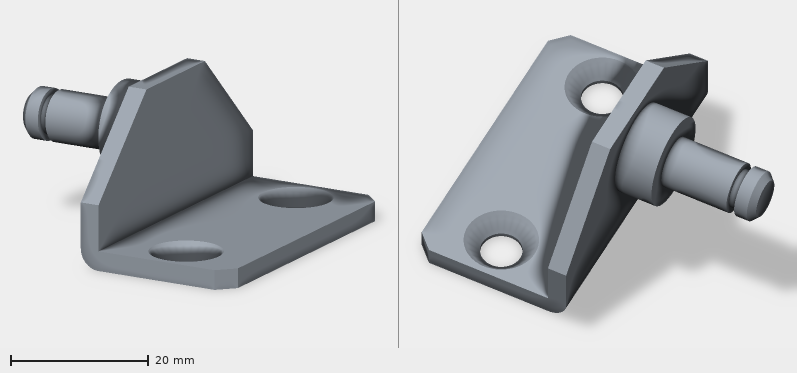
import cadquery as cq

thickness = 3.0
base_length = 25.0
width = 45.0
height = 24.0
bend_radius = thickness
corner_chamfer = 2.5

top_width = 17.0
shoulder_height = 10.0

hole_diameter = 6.2
countersink_diameter = 11.0
countersink_angle = 90
hole_x = 14.0
hole_spacing = 32.0

pin_height = 15.0
overall_length = 46.0
pin_reach = overall_length - base_length
collar_diameter = 14.0
collar_length = 6.0
pin_diameter = 7.8
tip_chamfer = 1.0
groove_diameter = 6.0
groove_width = 1.3
groove_from_tip = 3.1


def make_bracket():
    """L-shaped plate with a rounded outer bend and a sharp inner corner."""
    profile = (
        cq.Workplane("XZ")
        .polyline([
            (0, 0),
            (base_length, 0),
            (base_length, thickness),
            (thickness, thickness),
            (thickness, height),
            (0, height),
        ])
        .close()
    )
    plate = profile.extrude(width / 2, both=True)
    plate = plate.edges("|Y and <X and <Z").fillet(bend_radius)
    return plate.edges("|Z and >X").chamfer(corner_chamfer)


def trim_upright(bracket):
    """Cut the two sloping sides of the upright leg."""
    for side in (-1, 1):
        corner = (
            cq.Workplane("YZ")
            .polyline([
                (side * width / 2, shoulder_height),
                (side * width / 2, height),
                (side * top_width / 2, height),
            ])
            .close()
            .extrude(thickness)
        )
        bracket = bracket.cut(corner)
    return bracket


def drill_mounting_holes(bracket):
    """Countersink the base from its upper face."""
    return (
        bracket.copyWorkplane(cq.Workplane("XY", origin=(0, 0, thickness)))
        .pushPoints([(hole_x, -hole_spacing / 2), (hole_x, hole_spacing / 2)])
        .cskHole(hole_diameter, countersink_diameter, countersink_angle)
    )


def cylinder_from_tip(diameter, start, length):
    """Cylinder on the pin axis, starting at a distance behind the pin tip."""
    return (
        cq.Workplane("YZ", origin=(start - pin_reach, 0, pin_height))
        .circle(diameter / 2)
        .extrude(length)
    )


def make_pin():
    """Collared pin with a chamfered tip and a retaining-ring groove."""
    pin = cylinder_from_tip(pin_diameter, 0, pin_reach)
    pin = pin.faces("<X").chamfer(tip_chamfer)
    groove = cylinder_from_tip(pin_diameter, groove_from_tip, groove_width).cut(
        cylinder_from_tip(groove_diameter, groove_from_tip, groove_width)
    )
    collar = cylinder_from_tip(collar_diameter, pin_reach - collar_length, collar_length)
    return pin.cut(groove).union(collar)


bracket = drill_mounting_holes(trim_upright(make_bracket()))
result = bracket.union(make_pin())